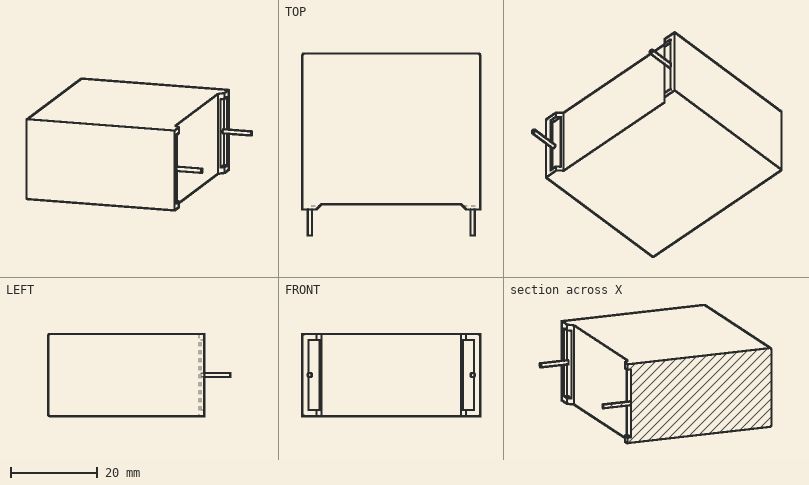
import cadquery as cq


total_length = 42.0
case_width = 41.0
case_height = 19.0
lead_length = 6.0
case_length = total_length - lead_length
back_edge_radius = 0.5

foot_width = 3.25
setback_depth = 1.2
setback_slope_width = 1.2

pocket_margin = 1.4
pocket_width = 2.6
pocket_height = case_height - 2 * pocket_margin
pocket_depth = 0.8
pocket_x = case_width / 2 - pocket_margin - pocket_width / 2

lead_diameter = 1.0
lead_pitch = 37.5
lead_x = lead_pitch / 2

SIDES = (-1, 1)


def make_lead(side):
    """Round wire from the pocket floor out to the free end at -Y."""
    return (
        cq.Workplane("XZ", origin=(side * lead_x, pocket_depth, 0))
        .circle(lead_diameter / 2)
        .extrude(pocket_depth + lead_length)
    )


def make_pocket(side):
    """Rectangular recess cut into one foot."""
    return (
        cq.Workplane("XZ", origin=(side * pocket_x, pocket_depth, 0))
        .rect(pocket_width, pocket_height)
        .extrude(pocket_depth)
    )


def make_case(leads):
    """Case with rounded back edges, pocketed feet and clearance for the leads."""
    half_width = case_width / 2
    foot_inner_x = half_width - foot_width
    setback_x = foot_inner_x - setback_slope_width
    case = (
        cq.Workplane("XY", origin=(0, 0, -case_height / 2))
        .moveTo(-half_width, 0)
        .lineTo(-foot_inner_x, 0)
        .lineTo(-setback_x, setback_depth)
        .lineTo(setback_x, setback_depth)
        .lineTo(foot_inner_x, 0)
        .lineTo(half_width, 0)
        .lineTo(half_width, case_length)
        .lineTo(-half_width, case_length)
        .close()
        .extrude(case_height)
    )
    case = case.faces(">Y").edges().fillet(back_edge_radius)
    for side in SIDES:
        case = case.cut(make_pocket(side))
    for lead in leads:
        case = case.cut(lead)
    return case


leads = [make_lead(side) for side in SIDES]
case = make_case(leads)

result = cq.Compound.makeCompound([case.val(), *[lead.val() for lead in leads]])